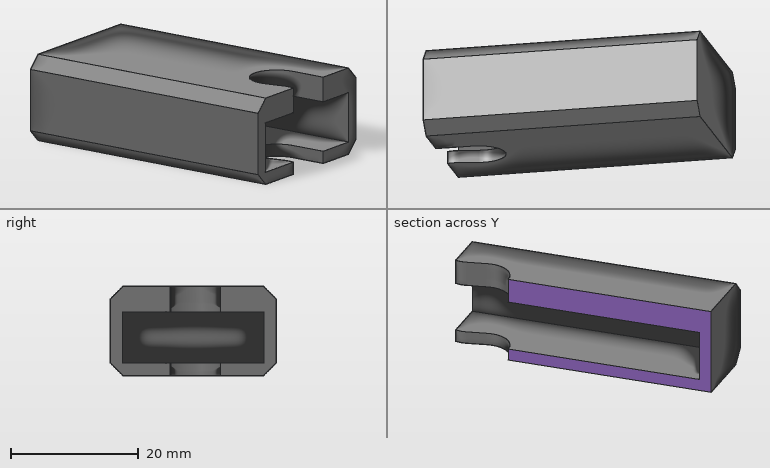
import cadquery as cq
import math

length = 44.0
width = 26.0
height = 14.0
chamfer = 2.02

top_wall = 4.0
thin_wall = 2.0

notch_radius = 4.25
notch_depth = 10.1
bump_radius = 3.5
bump_setback = 1.15
bump_crest_y = -3.48


def make_block():
    block = cq.Workplane("XY").box(length, width, height, centered=(False, True, False))
    return block.edges("|X").chamfer(chamfer)


def make_cavity():
    cavity_length = length - thin_wall
    cavity_width = width - 2 * thin_wall
    cavity_height = height - top_wall - thin_wall
    cavity = cq.Workplane("XY").box(
        cavity_length, cavity_width, cavity_height, centered=(False, True, False)
    )
    return cavity.translate((thin_wall, 0, thin_wall))


def point_on_circle(center, radius, angle):
    return (center[0] + radius * math.cos(angle), center[1] + radius * math.sin(angle))


def make_notch():
    seat = (length - notch_depth + notch_radius, 0.0)
    bump = (length - bump_setback, bump_crest_y - bump_radius)

    center_distance = math.dist(seat, bump)
    center_angle = math.atan2(bump[1] - seat[1], bump[0] - seat[0])
    ramp_normal = center_angle - math.acos((notch_radius + bump_radius) / center_distance)
    ramp_start = point_on_circle(seat, notch_radius, ramp_normal)
    ramp_end = point_on_circle(bump, bump_radius, ramp_normal + math.pi)

    bump_end_y = bump[1] + math.sqrt(bump_radius**2 - bump_setback**2)
    return (
        cq.Workplane("XY")
        .moveTo(length, notch_radius)
        .lineTo(seat[0], notch_radius)
        .threePointArc((seat[0] - notch_radius, seat[1]), ramp_start)
        .lineTo(*ramp_end)
        .threePointArc((bump[0], bump_crest_y), (length, bump_end_y))
        .close()
        .extrude(height)
    )


result = make_block().cut(make_cavity()).cut(make_notch())